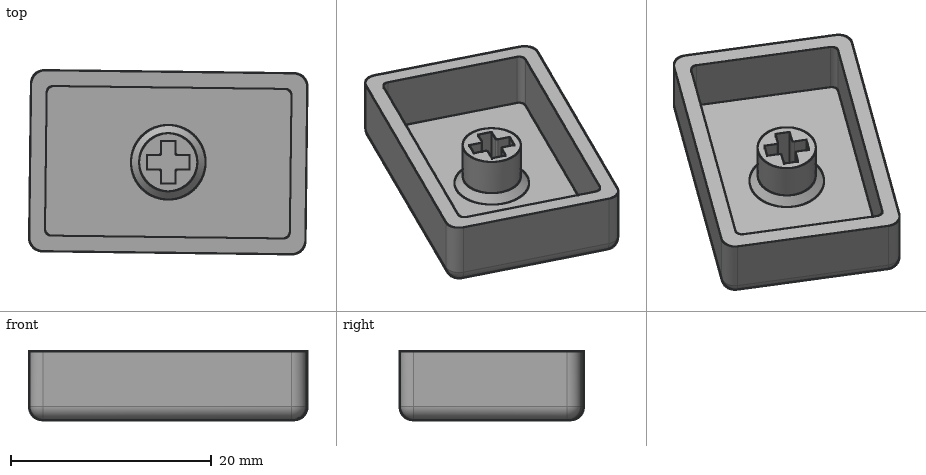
import cadquery as cq
import math

overall_x = 27.77
overall_y = 18.38
tray_height = 6.9
tray_turn = 0.7
outer_radius = 1.4

turn_cos = math.cos(math.radians(tray_turn))
turn_sin = math.sin(math.radians(tray_turn))
span_x = overall_x - 2 * outer_radius
span_y = overall_y - 2 * outer_radius
determinant = turn_cos**2 - turn_sin**2
straight_length = (span_x * turn_cos - span_y * turn_sin) / determinant
straight_width = (span_y * turn_cos - span_x * turn_sin) / determinant
tray_length = straight_length + 2 * outer_radius
tray_width = straight_width + 2 * outer_radius

wall = 1.58
floor_thickness = 1.25
cavity_radius = 0.67

stem_diameter = 5.8
stem_top = 5.9
foot_diameter = 7.45
foot_height = (foot_diameter - stem_diameter) / 2

cross_length = 4.28
cross_width = 1.45
cross_corner_radius = 0.2
cross_depth = stem_top - floor_thickness


def make_tray():
    """Tray with rounded corners and bottom edge, hollowed from above."""
    body = (
        cq.Workplane("XY")
        .rect(tray_length, tray_width)
        .extrude(tray_height)
        .edges("|Z or <Z")
        .fillet(outer_radius)
    )
    cavity = (
        cq.Workplane("XY", origin=(0, 0, floor_thickness))
        .rect(tray_length - 2 * wall, tray_width - 2 * wall)
        .extrude(tray_height - floor_thickness)
        .edges("|Z")
        .fillet(cavity_radius)
    )
    return body.cut(cavity).rotate((0, 0, 0), (0, 0, 1), -tray_turn)


def make_stem():
    """Round stem and its conical foot, revolved about Z and sunk into the floor."""
    stem_radius = stem_diameter / 2
    foot_radius = foot_diameter / 2
    sunk_base = floor_thickness / 2
    profile = [
        (0, sunk_base),
        (foot_radius, sunk_base),
        (foot_radius, floor_thickness),
        (stem_radius, floor_thickness + foot_height),
        (stem_radius, stem_top),
        (0, stem_top),
    ]
    return cq.Workplane("XZ").polyline(profile).close().revolve(360, (0, 0, 0), (0, 1, 0))


def make_cross():
    """Cross-shaped cutter with its four inner corners rounded."""
    base = cq.Workplane("XY", origin=(0, 0, stem_top - cross_depth))
    bar_x = base.rect(cross_length, cross_width).extrude(cross_depth)
    bar_y = base.rect(cross_width, cross_length).extrude(cross_depth)
    inner_corners = cq.selectors.BoxSelector(
        (-cross_width, -cross_width, 0), (cross_width, cross_width, tray_height)
    )
    return bar_x.union(bar_y).edges("|Z").edges(inner_corners).fillet(cross_corner_radius)


result = make_tray().union(make_stem()).cut(make_cross())